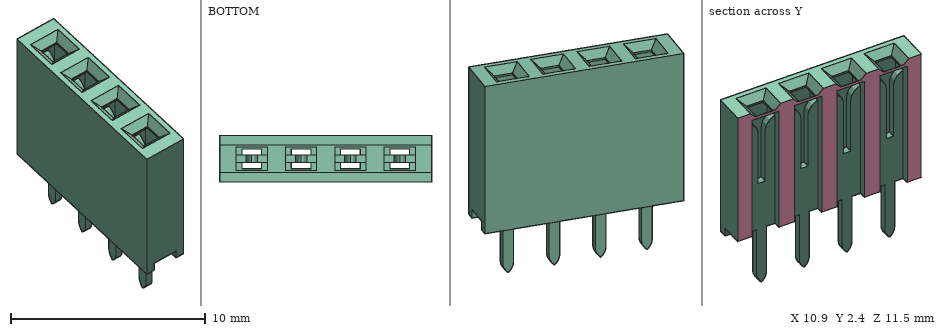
import cadquery as cq
import math

contact_count = 4
pitch = 2.54
row_start = -pitch * (contact_count - 1) / 2

housing_length = 10.92
housing_width = 2.4
pin_drop = 3.0
overall_height = 11.5
housing_height = overall_height - pin_drop

leg_thickness = 0.5
channel_depth = 0.5
channel_width = housing_width - 2 * leg_thickness

mouth_size = 1.79
throat_size = 1.0
taper_depth = (mouth_size - throat_size) / 2
throat_depth = 0.1
cavity_length = 1.6
cavity_width = 1.21
throat_top = housing_height - taper_depth
cavity_top = throat_top - throat_depth

contact_thickness = 0.4
fork_half_width = cavity_length / 2
fork_recess = 1.0
fork_top = housing_height - fork_recess
slot_half_width = 0.21
slot_depth = 4.02
slot_valley = 0.029
lead_in_radius = 0.89
pin_half_width = 0.3
tip_length = 0.61


def make_housing():
    """Block with a channel underneath and one socket per contact."""
    block = cq.Workplane("XY").box(
        housing_length, housing_width, housing_height, centered=(True, True, False)
    )
    channel = cq.Workplane("XY").box(
        housing_length, channel_width, channel_depth, centered=(True, True, False)
    )
    block = block.cut(channel)
    socket = make_socket()
    for index in range(contact_count):
        block = block.cut(socket.translate((row_start + index * pitch, 0, 0)))
    return block


def make_socket():
    """Solid in the shape of one socket opening, centred on the Z axis."""
    mouth = (
        cq.Workplane("XY", origin=(0, 0, throat_top))
        .rect(throat_size, throat_size)
        .workplane(offset=taper_depth)
        .rect(mouth_size, mouth_size)
        .loft(ruled=True)
    )
    throat = (
        cq.Workplane("XY", origin=(0, 0, cavity_top))
        .rect(throat_size, throat_size)
        .extrude(throat_depth)
    )
    cavity = (
        cq.Workplane("XY", origin=(0, 0, channel_depth))
        .rect(cavity_length, cavity_width)
        .extrude(cavity_top - channel_depth)
    )
    return mouth.union(throat).union(cavity)


def make_contact(center_x):
    """Forked blade and pin, cut from one flat strip."""
    arc_center_x = slot_half_width + lead_in_radius
    arc_rise = math.sqrt(lead_in_radius**2 - (arc_center_x - fork_half_width) ** 2)
    arc_base = fork_top - arc_rise
    arc_mid_x = (slot_half_width + fork_half_width) / 2
    arc_mid_z = arc_base + math.sqrt(lead_in_radius**2 - (arc_center_x - arc_mid_x) ** 2)

    tip_start = tip_length - pin_drop
    tip_radius = (tip_length**2 + pin_half_width**2) / (2 * pin_half_width)
    tip_mid_z = tip_start - tip_length / 2
    tip_mid_x = pin_half_width - tip_radius + math.sqrt(tip_radius**2 - (tip_length / 2) ** 2)

    slot_bottom = fork_top - slot_depth
    outline = (
        cq.Workplane("XZ")
        .moveTo(0, -pin_drop)
        .threePointArc((tip_mid_x, tip_mid_z), (pin_half_width, tip_start))
        .lineTo(pin_half_width, channel_depth)
        .lineTo(fork_half_width, channel_depth)
        .lineTo(fork_half_width, fork_top)
        .threePointArc((arc_mid_x, arc_mid_z), (slot_half_width, arc_base))
        .lineTo(slot_half_width, slot_bottom)
        .lineTo(0, slot_bottom - slot_valley)
        .lineTo(-slot_half_width, slot_bottom)
        .lineTo(-slot_half_width, arc_base)
        .threePointArc((-arc_mid_x, arc_mid_z), (-fork_half_width, fork_top))
        .lineTo(-fork_half_width, channel_depth)
        .lineTo(-pin_half_width, channel_depth)
        .lineTo(-pin_half_width, tip_start)
        .threePointArc((-tip_mid_x, tip_mid_z), (0, -pin_drop))
        .close()
    )
    blade = outline.extrude(contact_thickness / 2, both=True)
    return blade.translate((center_x, 0, 0))


housing = make_housing()
contacts = [make_contact(row_start + index * pitch) for index in range(contact_count)]

result = cq.Compound.makeCompound([housing.val(), *[contact.val() for contact in contacts]])